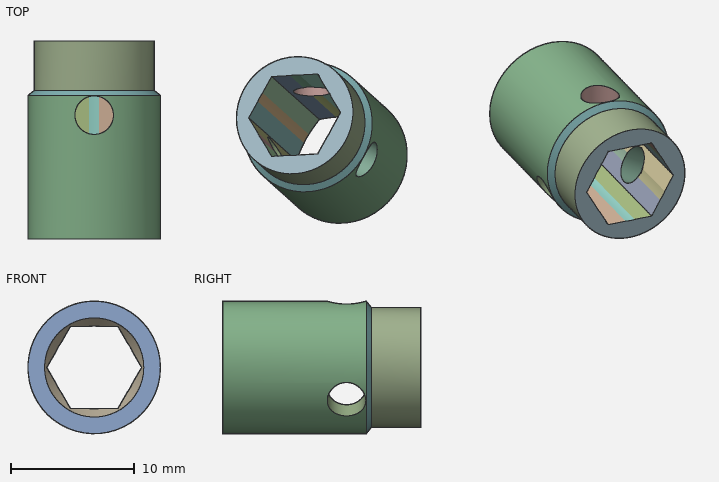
import cadquery as cq
import math

length = 16.0
body_diameter = 10.7
neck_diameter = 9.7
neck_length = 4.0
shoulder_height = 0.4

hex_across_flats = 6.6
bore_diameter = 6.65
mouth_diameter = 8.0
mouth_half_angle = 45.0

hole_diameter = 3.1
hole_from_back = 6.0
hole_count = 3

body_radius = body_diameter / 2
neck_radius = neck_diameter / 2
body_length = length - neck_length
hex_across_corners = hex_across_flats / math.cos(math.radians(30))
mouth_radius = mouth_diameter / 2
mouth_cone_height = mouth_radius / math.tan(math.radians(mouth_half_angle))


def revolve_about_y(outline):
    """Revolve a closed (radius, Y) outline about the sleeve axis."""
    return outline.revolve(360, (0, 0, 0), (0, 1, 0))


def outer_sleeve():
    """Body with a conical shoulder stepping down to the neck."""
    outline = (
        cq.Workplane("XY")
        .lineTo(body_radius, 0)
        .lineTo(body_radius, body_length - shoulder_height)
        .lineTo(neck_radius, body_length)
        .lineTo(neck_radius, length)
        .lineTo(0, length)
        .close()
    )
    return revolve_about_y(outline)


def hex_socket():
    """Through hexagon, with a round bore slightly relieving its flats."""
    hexagon = cq.Workplane("XZ").polygon(6, hex_across_corners).extrude(-length)
    bore = cq.Workplane("XZ").circle(bore_diameter / 2).extrude(-length)
    return hexagon.union(bore)


def mouth_countersink():
    """Conical lead-in at the mouth of the socket."""
    outline = cq.Workplane("XY").lineTo(mouth_radius, 0).lineTo(0, mouth_cone_height).close()
    return revolve_about_y(outline)


def radial_hole():
    """Hole from the sleeve axis outward through the upper wall."""
    hole = cq.Workplane("XY").center(0, length - hole_from_back).circle(hole_diameter / 2)
    return hole.extrude(body_diameter)


result = outer_sleeve().cut(hex_socket()).cut(mouth_countersink())
for index in range(hole_count):
    angle = index * 360 / hole_count
    result = result.cut(radial_hole().rotate((0, 0, 0), (0, 1, 0), angle))